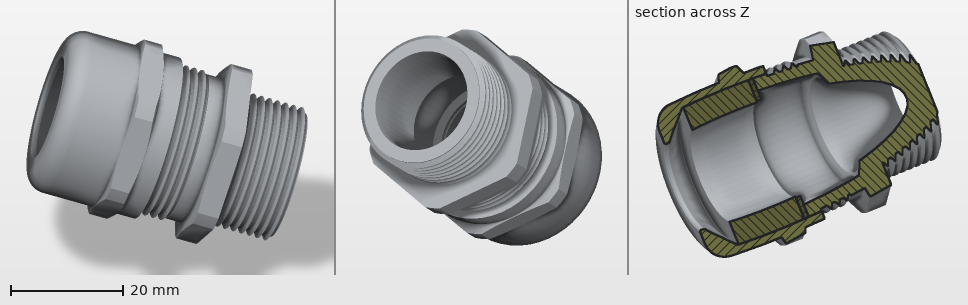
import cadquery as cq
import math


ROLL_ANGLE = 7.8
DIP_ANGLE = 18.0
SWING_ANGLE = 22.0

HEX_FLATS = 30.05
HEX_CORNER_DIAMETER = 33.1
HEX_CORNER_RADIUS = HEX_CORNER_DIAMETER / 2

PITCH = 1.5
THREAD_HALF_ANGLE = 30.0
THREAD_DEPTH = 0.85

CAP_DIAMETER = 29.8
CAP_RADIUS = CAP_DIAMETER / 2
CAP_LENGTH = 20.45
CAP_FILLET = 3.3
MOUTH_DIAMETER = 18.25
MOUTH_RADIUS = MOUTH_DIAMETER / 2
MOUTH_RIM_DIAMETER = 18.85
MOUTH_RIM_RADIUS = MOUTH_RIM_DIAMETER / 2
MOUTH_CHAMFER_END = 0.25
MOUTH_END = 0.9
CAP_BORE_DIAMETER = 26.65
CAP_BORE_RADIUS = CAP_BORE_DIAMETER / 2
CAP_CONE_END = 5.1
CAP_HEX_START = 12.4
CAP_HEX_FRONT_RISE = 0.45
CAP_HEX_CORNER_END = 16.25
CAP_HEX_END = 16.9

SEAL_BORE_DIAMETER = 18.2
SEAL_BORE_RADIUS = SEAL_BORE_DIAMETER / 2
SEAL_START = 5.25
SEAL_END = 17.25
RING_BORE_RADIUS = 9.35
RING_END = 18.05

BODY_START = RING_END
COLLAR_RADIUS = CAP_BORE_RADIUS
CAP_THREAD_RADIUS = 13.9
CAP_THREAD_ROOT_RADIUS = CAP_THREAD_RADIUS - THREAD_DEPTH
CAP_THREAD_CRESTS = 3
CAP_THREAD_LAST_CREST = 25.1
CAP_THREAD_FIRST_CREST = CAP_THREAD_LAST_CREST - (CAP_THREAD_CRESTS - 1) * PITCH
CAP_THREAD_END = CAP_THREAD_LAST_CREST + PITCH / 2
BODY_HEX_START = 28.6
BODY_HEX_RISE = 0.55
BODY_HEX_END = 33.05
ENTRY_THREAD_RADIUS = 12.3
ENTRY_THREAD_ROOT_RADIUS = ENTRY_THREAD_RADIUS - THREAD_DEPTH
ENTRY_THREAD_CRESTS = 8
BODY_END = 44.9
ENTRY_FIRST_CREST = BODY_END - (ENTRY_THREAD_CRESTS - 0.5) * PITCH
BODY_BORE_DIAMETER = 22.05
BODY_BORE_RADIUS = BODY_BORE_DIAMETER / 2
ENTRY_BORE_DIAMETER = 18.25
ENTRY_BORE_RADIUS = ENTRY_BORE_DIAMETER / 2
BODY_CONE_START = 28.5
BODY_CONE_LENGTH = 0.95


def turned(points):
    """Solid turned about X from a closed outline of (x, radius) points."""
    return cq.Workplane("XY").polyline(points).close().revolve(360, (0, 0), (1, 0))


def hexagon(blank_points, start, end):
    """Hexagonal flange cut from a turned blank, with its corners rounded by the blank."""
    prism = (
        cq.Workplane("YZ").workplane(offset=start)
        .polygon(6, HEX_FLATS / math.cos(math.radians(30)))
        .extrude(end - start)
    )
    return prism.intersect(turned(blank_points))


def thread_outline(first_crest, crest_count, crest_radius):
    """Outline points of a row of sharp ridges, parted by narrow flats at the root radius."""
    half_ridge = THREAD_DEPTH * math.tan(math.radians(THREAD_HALF_ANGLE))
    root_radius = crest_radius - THREAD_DEPTH
    points = []
    for i in range(crest_count):
        crest = first_crest + i * PITCH
        points += [
            (crest - half_ridge, root_radius),
            (crest, crest_radius),
            (crest + half_ridge, root_radius),
        ]
    return points


def make_cap():
    """Domed cap nut with a hexagonal flange and a bore that widens behind the mouth."""
    shell = (
        cq.Workplane("YZ").circle(CAP_RADIUS).extrude(CAP_LENGTH)
        .faces("<X").edges().fillet(CAP_FILLET)
    )
    flange = hexagon(
        [
            (CAP_HEX_START, 0),
            (CAP_HEX_START, CAP_RADIUS),
            (CAP_HEX_START + CAP_HEX_FRONT_RISE, HEX_CORNER_RADIUS),
            (CAP_HEX_CORNER_END, HEX_CORNER_RADIUS),
            (CAP_HEX_END, CAP_RADIUS),
            (CAP_HEX_END, 0),
        ],
        CAP_HEX_START,
        CAP_HEX_END,
    )
    bore = turned([
        (0, 0),
        (0, MOUTH_RIM_RADIUS),
        (MOUTH_CHAMFER_END, MOUTH_RADIUS),
        (MOUTH_END, MOUTH_RADIUS),
        (CAP_CONE_END, CAP_BORE_RADIUS),
        (CAP_LENGTH, CAP_BORE_RADIUS),
        (CAP_LENGTH, 0),
    ])
    return shell.union(flange).cut(bore)


def make_seal():
    """Thick sealing sleeve held in the bore of the cap."""
    return turned([
        (SEAL_START, SEAL_BORE_RADIUS),
        (SEAL_START, CAP_BORE_RADIUS),
        (SEAL_END, CAP_BORE_RADIUS),
        (SEAL_END, SEAL_BORE_RADIUS),
    ])


def make_ring():
    """Clamping ring between the seal and the body."""
    return turned([
        (SEAL_END, RING_BORE_RADIUS),
        (SEAL_END, CAP_BORE_RADIUS),
        (RING_END, CAP_BORE_RADIUS),
        (RING_END, RING_BORE_RADIUS),
    ])


def make_body():
    """Gland body with a cap thread, a hexagonal flange, an entry thread and a stepped bore."""
    core = turned([
        (BODY_START, 0),
        (BODY_START, COLLAR_RADIUS),
        (CAP_LENGTH, COLLAR_RADIUS),
        (CAP_LENGTH, CAP_THREAD_ROOT_RADIUS),
        *thread_outline(CAP_THREAD_FIRST_CREST, CAP_THREAD_CRESTS, CAP_THREAD_RADIUS),
        (CAP_THREAD_END, CAP_THREAD_ROOT_RADIUS),
        (CAP_THREAD_END, COLLAR_RADIUS),
        (BODY_HEX_START, COLLAR_RADIUS),
        (BODY_HEX_START, ENTRY_THREAD_ROOT_RADIUS),
        *thread_outline(ENTRY_FIRST_CREST, ENTRY_THREAD_CRESTS, ENTRY_THREAD_RADIUS),
        (BODY_END, ENTRY_THREAD_ROOT_RADIUS),
        (BODY_END, 0),
    ])
    flange = hexagon(
        [
            (BODY_HEX_START, 0),
            (BODY_HEX_START, COLLAR_RADIUS),
            (BODY_HEX_START + BODY_HEX_RISE, HEX_CORNER_RADIUS),
            (BODY_HEX_END, HEX_CORNER_RADIUS),
            (BODY_HEX_END, 0),
        ],
        BODY_HEX_START,
        BODY_HEX_END,
    )
    bore = turned([
        (BODY_START, 0),
        (BODY_START, BODY_BORE_RADIUS),
        (BODY_CONE_START, BODY_BORE_RADIUS),
        (BODY_CONE_START + BODY_CONE_LENGTH, ENTRY_BORE_RADIUS),
        (BODY_END, ENTRY_BORE_RADIUS),
        (BODY_END, 0),
    ])
    return core.union(flange).cut(bore)


def tilted(part):
    """Turn a body from the X axis into its final attitude."""
    return (
        part.rotate((0, 0, 0), (1, 0, 0), ROLL_ANGLE)
        .rotate((0, 0, 0), (0, 1, 0), DIP_ANGLE)
        .rotate((0, 0, 0), (0, 0, 1), SWING_ANGLE)
    )


cap = tilted(make_cap())
seal = tilted(make_seal())
ring = tilted(make_ring())
body = tilted(make_body())

result = cq.Compound.makeCompound([cap.val(), seal.val(), ring.val(), body.val()])